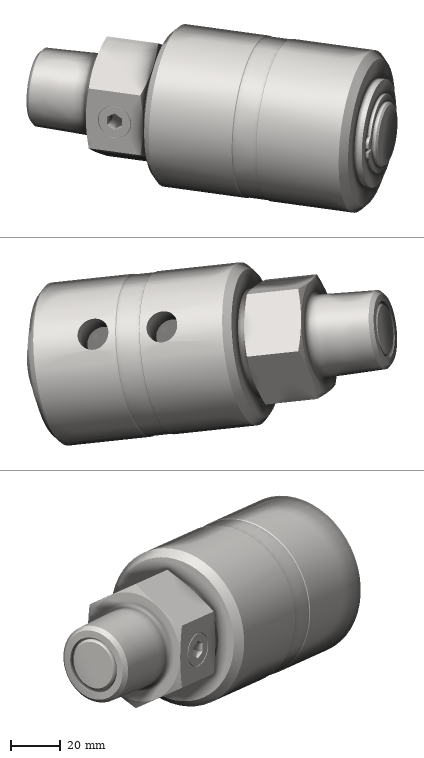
import cadquery as cq
import math

HEX_START = 28.1
HEX_END = 52.6
BODY_START = 55.4
BODY_END = 142.3
FLANGE_END = 145.5
CIRCLIP_END = 146.9
TOTAL_LENGTH = 149.2

STUB_CHAMFER = 1.6
STUB_TIP_RADIUS = 16.12
STUB_TAPER = 1 / 16
STUB_FILLET = 1.7

BORE_RADIUS = 11.6
PLUG_RADIUS = 10.7
PLUG_CHAMFER = 0.9
BORE_GAP_DEPTH = 2.0

HEX_ACROSS_FLATS = 46.0
HEX_FACE_RADIUS = 22.9
HEX_CORNER_SETBACK = 1.25
HEX_TURN = 30

SCREW_X = 40.4
SCREW_OUTER_DIAMETER = 14.2
SCREW_INNER_DIAMETER = 13.5
SCREW_GAP_DEPTH = 0.5
SOCKET_ACROSS_FLATS = 6.4
SOCKET_DEPTH = 7.0

FLANGE_RADIUS = 44.45 / 2
BODY_RADIUS = 66.4 / 2
BODY_CHAMFER = 3.0
BAND_RADIUS = 65.8 / 2
BAND_START = 93.7
BAND_END = 104.2

PORT_DIAMETER = 13.16
PORT_DEPTH = 12.0
PORT_OFFSET = 14.75

SHAFT_RADIUS = 26.62 / 2
SHAFT_CHAMFER = 0.8
CIRCLIP_RADIUS = 16.25
CIRCLIP_OFFSET = 0.35
LUG_REACH = 17.6
LUG_HALF_WIDTH = 5.0
LUG_CORNER_RADIUS = 2.8
LUG_GAP = 1.8


def circumscribed(across_flats):
    """Diameter of the circle through the corners of a hexagon."""
    return across_flats / math.cos(math.pi / 6)


def revolve_about_x(profile):
    return profile.close().revolve(360, (0, 0, 0), (1, 0, 0))


def make_stub():
    fillet_start = HEX_START - STUB_FILLET
    root_radius = STUB_TIP_RADIUS + (fillet_start - STUB_CHAMFER) * STUB_TAPER / 2
    fillet_top = root_radius + STUB_FILLET
    diagonal = STUB_FILLET * math.sqrt(0.5)
    profile = (
        cq.Workplane("XY")
        .lineTo(0, STUB_TIP_RADIUS - STUB_CHAMFER)
        .lineTo(STUB_CHAMFER, STUB_TIP_RADIUS)
        .lineTo(fillet_start, root_radius)
        .threePointArc((fillet_start + diagonal, fillet_top - diagonal), (HEX_START, fillet_top))
        .lineTo(HEX_START, 0)
    )
    return revolve_about_x(profile)


def make_bore_gap():
    profile = (
        cq.Workplane("XY")
        .moveTo(0, PLUG_RADIUS - PLUG_CHAMFER)
        .lineTo(PLUG_CHAMFER, PLUG_RADIUS)
        .lineTo(BORE_GAP_DEPTH, PLUG_RADIUS)
        .lineTo(BORE_GAP_DEPTH, BORE_RADIUS)
        .lineTo(0, BORE_RADIUS)
    )
    return revolve_about_x(profile)


def make_hexagon():
    corner_diameter = circumscribed(HEX_ACROSS_FLATS)
    prism = (
        cq.Workplane("YZ", origin=(HEX_START, 0, 0))
        .polygon(6, corner_diameter)
        .extrude(HEX_END - HEX_START)
        .rotate((0, 0, 0), (1, 0, 0), HEX_TURN)
    )
    corner_radius = corner_diameter / 2
    envelope = (
        cq.Workplane("XY")
        .moveTo(HEX_START, 0)
        .lineTo(HEX_START, HEX_FACE_RADIUS)
        .lineTo(HEX_START + HEX_CORNER_SETBACK, corner_radius)
        .lineTo(HEX_END - HEX_CORNER_SETBACK, corner_radius)
        .lineTo(HEX_END, HEX_FACE_RADIUS)
        .lineTo(HEX_END, 0)
    )
    return prism.intersect(revolve_about_x(envelope))


def make_screw_cut():
    """Ring-shaped gap around the screw plug, together with its hexagon socket."""
    flat = cq.Workplane("XZ", origin=(SCREW_X, -HEX_ACROSS_FLATS / 2, 0))
    gap = (
        flat.circle(SCREW_OUTER_DIAMETER / 2)
        .circle(SCREW_INNER_DIAMETER / 2)
        .extrude(-SCREW_GAP_DEPTH)
    )
    socket = (
        flat.transformed(rotate=(0, 0, HEX_TURN))
        .polygon(6, circumscribed(SOCKET_ACROSS_FLATS))
        .extrude(-SOCKET_DEPTH)
    )
    return gap.union(socket)


def make_body():
    """Neck, grooved body, end flange and shaft end in one revolved profile."""
    shoulder_radius = BODY_RADIUS - BODY_CHAMFER
    band_depth = BODY_RADIUS - BAND_RADIUS
    profile = (
        cq.Workplane("XY")
        .moveTo(HEX_END, 0)
        .lineTo(HEX_END, FLANGE_RADIUS)
        .lineTo(BODY_START, FLANGE_RADIUS)
        .lineTo(BODY_START, shoulder_radius)
        .lineTo(BODY_START + BODY_CHAMFER, BODY_RADIUS)
        .lineTo(BAND_START, BODY_RADIUS)
        .lineTo(BAND_START + band_depth, BAND_RADIUS)
        .lineTo(BAND_END - band_depth, BAND_RADIUS)
        .lineTo(BAND_END, BODY_RADIUS)
        .lineTo(BODY_END - BODY_CHAMFER, BODY_RADIUS)
        .lineTo(BODY_END, shoulder_radius)
        .lineTo(BODY_END, FLANGE_RADIUS)
        .lineTo(FLANGE_END, FLANGE_RADIUS)
        .lineTo(FLANGE_END, SHAFT_RADIUS)
        .lineTo(TOTAL_LENGTH - SHAFT_CHAMFER, SHAFT_RADIUS)
        .lineTo(TOTAL_LENGTH, SHAFT_RADIUS - SHAFT_CHAMFER)
        .lineTo(TOTAL_LENGTH, 0)
    )
    return revolve_about_x(profile)


def make_port(x):
    """Blind radial hole, drilled from the +Y side."""
    mouth = cq.Workplane("XZ", origin=(x, BODY_RADIUS, 0))
    return mouth.circle(PORT_DIAMETER / 2).extrude(PORT_DEPTH)


def make_circlip():
    """Retaining ring with two rounded lugs on its -Y side, parted by a gap."""
    thickness = CIRCLIP_END - FLANGE_END
    plane = cq.Workplane("YZ", origin=(FLANGE_END, 0, 0))
    ring = plane.center(CIRCLIP_OFFSET, 0).circle(CIRCLIP_RADIUS).extrude(thickness)
    lugs = (
        plane.center(-LUG_REACH / 2, 0)
        .rect(LUG_REACH, 2 * LUG_HALF_WIDTH)
        .extrude(thickness)
        .edges("|X and <Y")
        .fillet(LUG_CORNER_RADIUS)
    )
    gap = plane.center(-LUG_REACH / 2, 0).rect(LUG_REACH, LUG_GAP).extrude(thickness)
    return ring.union(lugs).cut(gap)


result = make_stub().cut(make_bore_gap())
result = result.union(make_hexagon()).cut(make_screw_cut())
result = result.union(make_circlip()).union(make_body())
band_center = (BAND_START + BAND_END) / 2
for side in (-1, 1):
    result = result.cut(make_port(band_center + side * PORT_OFFSET))